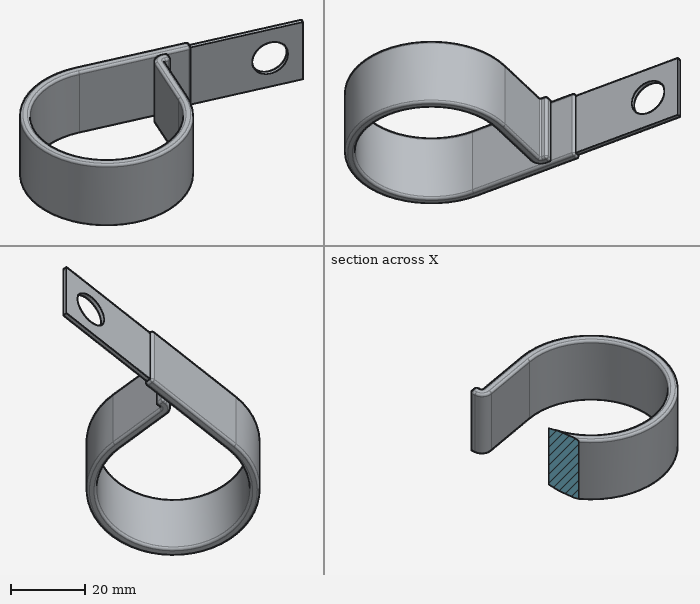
import cadquery as cq

loop_outer_radius = 23.405
metal_thickness = 1.22
strap_width = 19.05
cushion = 0.76
tab_end_y = 65.075
cushion_end_y = 32.5
hole_diameter = 10.31
hook_inner_radius = 0.4
hook_straight = 1.65
hook_gap = 0.06
edge_radius = 0.745

band_thickness = metal_thickness + 2 * cushion
band_width = strap_width + 2 * cushion
loop_inner_radius = loop_outer_radius - band_thickness
hook_outer_radius = hook_inner_radius + band_thickness
leg_inner_x = -loop_inner_radius
leg_center_x = -loop_outer_radius + band_thickness / 2
hook_outer_x = leg_inner_x + hook_gap
hook_inner_x = hook_outer_x + band_thickness
hook_center_x = hook_outer_x + hook_outer_radius
hook_center_y = loop_inner_radius + hook_outer_radius
hook_end_y = hook_center_y + hook_straight
diagonal = 0.5 ** 0.5


def make_band():
    """Cushioned band: straight leg, three-quarter loop, and hooked free end."""
    outline = (
        cq.Workplane("XY")
        .workplane(offset=-band_width / 2)
        .moveTo(-loop_outer_radius, cushion_end_y)
        .lineTo(-loop_outer_radius, 0)
        .threePointArc(
            (loop_outer_radius * diagonal, -loop_outer_radius * diagonal),
            (0, loop_outer_radius),
        )
        .lineTo(hook_center_x, loop_outer_radius)
        .threePointArc(
            (
                hook_center_x - hook_inner_radius * diagonal,
                hook_center_y - hook_inner_radius * diagonal,
            ),
            (hook_inner_x, hook_center_y),
        )
        .lineTo(hook_inner_x, hook_end_y)
        .lineTo(hook_outer_x, hook_end_y)
        .lineTo(hook_outer_x, hook_center_y)
        .threePointArc(
            (
                hook_center_x - hook_outer_radius * diagonal,
                hook_center_y - hook_outer_radius * diagonal,
            ),
            (hook_center_x, loop_inner_radius),
        )
        .lineTo(0, loop_inner_radius)
        .threePointArc(
            (loop_inner_radius * diagonal, -loop_inner_radius * diagonal),
            (leg_inner_x, 0),
        )
        .lineTo(leg_inner_x, cushion_end_y)
        .close()
    )
    return outline.extrude(band_width)


def round_band_edges(band):
    """Round both rims of the band and the edges of its two end faces."""
    leg_end_center = (leg_center_x, cushion_end_y, 0)
    lip_end_center = (hook_outer_x + band_thickness / 2, hook_end_y, 0)
    end_edges = []
    for point in (leg_end_center, lip_end_center):
        face = band.faces(cq.selectors.NearestToPointSelector(point)).edges()
        end_edges.extend(face.vals())
    rim_edges = band.faces("|Z").edges().vals()
    return band.newObject(rim_edges + end_edges).fillet(edge_radius)


def make_tab():
    """Bare metal tab with its mounting hole, reaching back into the cushion."""
    root_overlap = 5.0
    tab_length = tab_end_y - cushion_end_y + root_overlap
    hole_y = tab_end_y - strap_width / 2
    tab = cq.Workplane("XY").box(metal_thickness, tab_length, strap_width)
    tab = tab.translate((leg_center_x, tab_end_y - tab_length / 2, 0))
    hole = (
        cq.Workplane("YZ")
        .center(hole_y, 0)
        .circle(hole_diameter / 2)
        .extrude(metal_thickness, both=True)
        .translate((leg_center_x, 0, 0))
    )
    return tab.cut(hole)


result = round_band_edges(make_band()).union(make_tab())